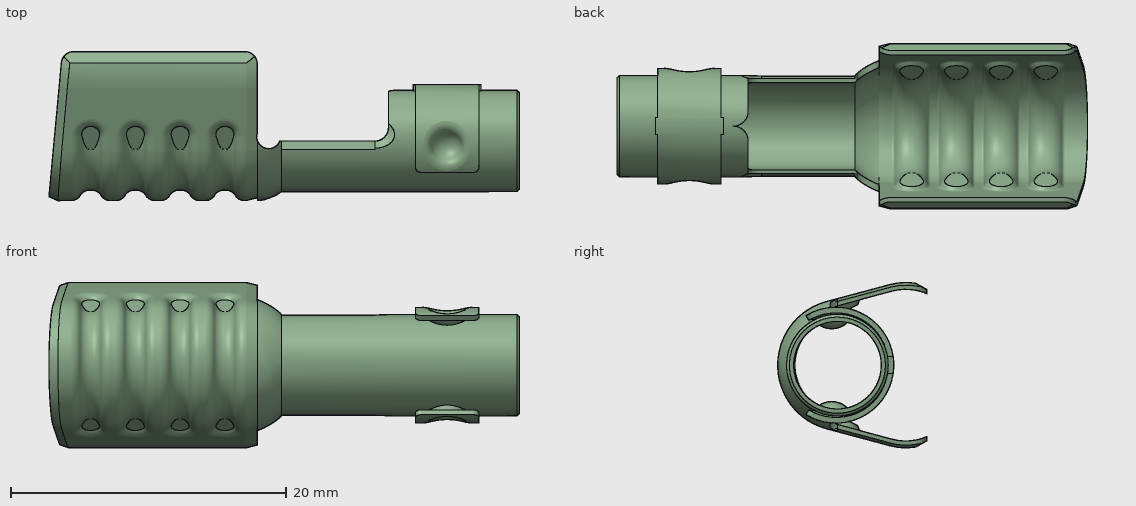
import cadquery as cq
import math

SHEET = 0.5
LENGTH = 34.22
TUBE_R = 3.7
TUBE_START = 16.9
END_CHAMFER = 0.2

BACK_R = 4.8
BACK_Y = 0.45
JAW_DEGREES = 15
JAW_ANGLE = math.radians(JAW_DEGREES)
JAW_END_Y = 3.83
LIP_APEX_Y = 4.95
TIP_Y = 6.5
CLAMP_END = 15.15
MOUTH_SLANT = math.radians(5.3)
LIP_CORNER_R = 0.92

LIP_R = (LIP_APEX_Y - JAW_END_Y) / math.sin(JAW_ANGLE)
LIP_Z = (BACK_R - LIP_R + (LIP_APEX_Y - BACK_Y) * math.sin(JAW_ANGLE)) / math.cos(JAW_ANGLE)

FLARE_MID_X = 16.05
FLARE_MID_Y = 0.25
FLARE_MID_R = 4.4

BEVEL_DEPTH = 0.25
MOUTH_BEVEL = 0.72
REAR_BEVEL = 0.92
TIP_BEVEL = 0.82
NOTCH_BEVEL = 0.6
MOUTH_FOOT_Y = BACK_Y - BACK_R + BEVEL_DEPTH

GROOVE_COUNT = 4
GROOVE_FIRST_X = 3.05
GROOVE_PITCH = 3.25
GROOVE_DEPTH = 0.75
GROOVE_ROUND_R = 0.75
GROOVE_HALF_FLOOR = 0.1
GROOVE_WALL_ANGLE = math.acos(1 - GROOVE_DEPTH / (2 * GROOVE_ROUND_R))
GROOVE_ARC = 180 - 2 * JAW_DEGREES
GROOVE_RUNOUT = 1.05
GROOVE_RAMP_ANGLE = math.radians(12)

NOTCH_END = 24.67
NOTCH_CORNER_R = 0.95
NOTCH_CORNER_X = NOTCH_END - NOTCH_CORNER_R
RELIEF_R = 0.85
RELIEF_X = 15.98
RELIEF_Y = 0.3
SEAM_CORNER_R = 1.1

CLIP_SHEET = 0.4
CLIP_R = 4.2
CLIP_BORE_R = CLIP_R - CLIP_SHEET
CLIP_Y = TUBE_R - CLIP_BORE_R
CLIP_X = 28.95
CLIP_WIDTH = 4.62
CLIP_SPINE_WIDTH = 4.93
CLIP_SPINE_HEIGHT = 1.23
CLIP_END_Y = -2.3
CLIP_CORNER_R = 0.45
DIMPLE_Y = -0.4
DIMPLE_R = 1.23
DIMPLE_FLOOR_Z = 3.05
DIMPLE_LIP_R = 0.65
DIMPLE_Z = DIMPLE_FLOOR_Z + DIMPLE_R
DIMPLE_HOLE_R = 1.88

BEVEL_MARGIN = 0.05
BIG = 13.7
CLEAR = 1.03


def lip_height(y, inset=0.0):
    """Height of the lip surface, moved inward by inset, at a given Y."""
    return LIP_Z + math.sqrt((LIP_R - inset) ** 2 - (y - LIP_APEX_Y) ** 2)


def clamp_outline(plane, inset, end_y):
    """Closed clamp outline, moved inward by inset and closed by a straight line at end_y."""
    sin_a, cos_a = math.sin(JAW_ANGLE), math.cos(JAW_ANGLE)
    back_r = BACK_R - inset
    lip_r = LIP_R - inset
    jaw_start = (BACK_Y - back_r * sin_a, back_r * cos_a)
    jaw_end = (LIP_APEX_Y - lip_r * sin_a, LIP_Z + lip_r * cos_a)
    lip_apex = (LIP_APEX_Y, LIP_Z + lip_r)
    tip = (end_y, lip_height(end_y, inset))

    def below(point):
        return point[0], -point[1]

    return (
        cq.Workplane(plane)
        .moveTo(*below(jaw_start))
        .threePointArc((BACK_Y - back_r, 0), jaw_start)
        .lineTo(*jaw_end)
        .threePointArc(lip_apex, tip)
        .lineTo(*below(tip))
        .threePointArc(below(lip_apex), below(jaw_end))
        .close()
    )


def groove_half_section(inset):
    """Half of the groove section in X and radius, reaching out past the surface of the back."""
    floor_r = GROOVE_ROUND_R + inset
    shoulder_r = GROOVE_ROUND_R - inset
    crest = BACK_R - inset
    base = crest - GROOVE_DEPTH
    half_width = GROOVE_HALF_FLOOR + (floor_r + shoulder_r) * math.sin(GROOVE_WALL_ANGLE)

    def on_floor(angle):
        return GROOVE_HALF_FLOOR + floor_r * math.sin(angle), base + floor_r * (1 - math.cos(angle))

    def on_shoulder(angle):
        return half_width - shoulder_r * math.sin(angle), crest - shoulder_r * (1 - math.cos(angle))

    return (
        cq.Workplane("XY")
        .moveTo(0, base)
        .lineTo(GROOVE_HALF_FLOOR, base)
        .threePointArc(on_floor(GROOVE_WALL_ANGLE / 2), on_floor(GROOVE_WALL_ANGLE))
        .threePointArc(on_shoulder(GROOVE_WALL_ANGLE / 2), (half_width, crest))
        .lineTo(half_width, crest + CLEAR)
        .lineTo(0, crest + CLEAR)
        .close()
    )


def groove_ramp(inset):
    """Material left under a run-out, so that its floor rises towards the end of the groove."""
    base = BACK_R - inset - GROOVE_DEPTH
    rise = GROOVE_PITCH * math.tan(GROOVE_RAMP_ANGLE)
    profile = [(0, 0), (base, 0), (base + rise, -GROOVE_PITCH), (0, -GROOVE_PITCH)]
    return cq.Workplane("YZ").polyline(profile).close().extrude(GROOVE_PITCH, both=True)


def groove_cutter(inset):
    """One groove centred at X = 0: an arc around the back, then straight run-outs with round ends."""
    half_arc = GROOVE_ARC / 2
    bend = groove_half_section(inset).revolve(GROOVE_ARC, (0, 0, 0), (1, 0, 0))
    bend = bend.rotate((0, 0, 0), (1, 0, 0), 180 - half_arc)
    bend = bend.union(bend.mirror("YZ"))

    straight = groove_half_section(inset).extrude(-GROOVE_RUNOUT)
    straight = straight.union(straight.mirror("YZ"))
    round_end = groove_half_section(inset).revolve(360, (0, 0, 0), (0, 1, 0))
    round_end = round_end.translate((0, 0, -GROOVE_RUNOUT))
    runout = straight.union(round_end).cut(groove_ramp(inset))
    upper = runout.rotate((0, 0, 0), (1, 0, 0), 180 - half_arc)
    return bend.union(upper).union(upper.mirror("XY")).translate((0, BACK_Y, 0))


def terminal_form(inset):
    """Solid filling the terminal out to its surface moved inward by inset."""
    form = clamp_outline("YZ", inset, TIP_Y).extrude(CLAMP_END)
    cutter = groove_cutter(inset)
    for i in range(GROOVE_COUNT):
        form = form.cut(cutter.translate((GROOVE_FIRST_X + i * GROOVE_PITCH, 0, 0)))
    flare = (
        cq.Workplane("YZ", origin=(CLAMP_END, 0, 0))
        .center(BACK_Y, 0)
        .circle(BACK_R - inset)
        .workplane(offset=FLARE_MID_X - CLAMP_END)
        .center(FLARE_MID_Y - BACK_Y, 0)
        .circle(FLARE_MID_R - inset)
        .workplane(offset=TUBE_START - FLARE_MID_X)
        .center(-FLARE_MID_Y, 0)
        .circle(TUBE_R - inset)
        .loft()
    )
    tube = cq.Workplane("YZ", origin=(TUBE_START, 0, 0)).circle(TUBE_R - inset).extrude(LENGTH - TUBE_START)
    return form.union(flare).union(tube)


def upright_prism(points):
    """Prism on a plan outline, tall enough to pass through the whole terminal."""
    return cq.Workplane("XY").polyline(points).close().extrude(BIG, both=True)


def upright_cylinder(x, y, radius):
    return cq.Workplane("XY").center(x, y).circle(radius).extrude(BIG, both=True)


def clamp_trim():
    """Slanted mouth, and the rounded plan corners of the lips."""
    lean = math.tan(MOUTH_SLANT)
    foot = (-(BIG + MOUTH_FOOT_Y) * lean, -BIG)
    tip = ((TIP_Y - MOUTH_FOOT_Y) * lean, TIP_Y)
    front = [foot, tip, (-BIG, TIP_Y), (-BIG, -BIG)]
    plan = (
        cq.Workplane("XY")
        .polyline([foot, (CLAMP_END, -BIG), (CLAMP_END, TIP_Y), tip])
        .close()
        .extrude(BIG, both=True)
    )
    corners = plan.cut(plan.edges("|Z and >Y").fillet(LIP_CORNER_R))
    return upright_prism(front).union(corners)


def end_bevel(plane, width):
    """Ring that thins the outer edge of the clamp towards an end, over width along the plane's normal."""
    taper = math.degrees(math.atan(BEVEL_DEPTH / width))
    kept = clamp_outline(plane, -BEVEL_MARGIN, TIP_Y + CLEAR).extrude(width, taper=taper)
    return cq.Workplane(plane).rect(2 * BIG, 2 * BIG).extrude(width).cut(kept)


def mouth_bevel():
    sin_m, cos_m = math.sin(MOUTH_SLANT), math.cos(MOUTH_SLANT)
    mouth_x = -MOUTH_FOOT_Y * math.tan(MOUTH_SLANT)
    plane = cq.Plane(
        origin=(mouth_x + MOUTH_BEVEL / cos_m, 0, 0),
        xDir=(sin_m, cos_m, 0),
        normal=(-cos_m, sin_m, 0),
    )
    return end_bevel(plane, MOUTH_BEVEL)


def rear_bevel():
    return end_bevel(cq.Plane.YZ(origin=(CLAMP_END - REAR_BEVEL, 0, 0)), REAR_BEVEL)


def edge_bevel(points, start_x, end_x):
    """Bevel along X, given by a triangle in Y and Z, on the upper and lower halves."""
    upper = cq.Workplane("YZ", origin=(start_x, 0, 0)).polyline(points).close().extrude(end_x - start_x)
    return upper.union(upper.mirror("XY"))


def lip_bevel():
    edge_z = lip_height(TIP_Y) - BEVEL_DEPTH
    start_y = TIP_Y - TIP_BEVEL
    start_z = lip_height(start_y)
    return edge_bevel([(start_y, start_z), (TIP_Y, edge_z), (TIP_Y, start_z + CLEAR)], 0, CLAMP_END)


def notch():
    """Open notch over the neck, with its rounded corner and the relief beside the clamp."""
    opening = (
        cq.Workplane("XY")
        .moveTo(CLAMP_END, 0)
        .lineTo(NOTCH_CORNER_X, 0)
        .radiusArc((NOTCH_END, NOTCH_CORNER_R), -NOTCH_CORNER_R)
        .lineTo(NOTCH_END, BIG)
        .lineTo(CLAMP_END, BIG)
        .close()
        .extrude(BIG, both=True)
    )
    return opening.union(upright_cylinder(RELIEF_X, RELIEF_Y, RELIEF_R))


def notch_bevel():
    """Bevel along the notch edges, continued as a cone around the notch corner."""
    edge_z = TUBE_R - BEVEL_DEPTH
    start_z = math.sqrt(TUBE_R**2 - NOTCH_BEVEL**2)
    triangle = [(-NOTCH_BEVEL, start_z), (0, edge_z), (0, TUBE_R + CLEAR)]
    edges = edge_bevel(triangle, TUBE_START, NOTCH_CORNER_X)
    cone = (
        cq.Workplane("XY", origin=(NOTCH_CORNER_X, NOTCH_CORNER_R, edge_z))
        .circle(NOTCH_CORNER_R)
        .workplane(offset=BEVEL_DEPTH)
        .circle(NOTCH_CORNER_R + NOTCH_BEVEL)
        .loft()
    )
    return edges.union(cone).union(cone.mirror("XY"))


def seam_mouth():
    """Flared gap between the rounded corners where the two edges of the tube wall meet."""
    r = SEAM_CORNER_R
    return (
        cq.Workplane("XZ", origin=(NOTCH_END, 0, 0))
        .moveTo(0, -r)
        .radiusArc((r, 0), r)
        .radiusArc((0, r), r)
        .close()
        .extrude(-TUBE_R)
    )


def make_terminal():
    outside = terminal_form(0.0).faces(">X").chamfer(END_CHAMFER)
    body = outside.cut(terminal_form(SHEET))
    bevels = (mouth_bevel(), rear_bevel(), lip_bevel(), notch_bevel())
    for cutter in (clamp_trim(), notch(), seam_mouth(), *bevels):
        body = body.cut(cutter)
    return body.cut(upright_cylinder(CLIP_X, DIMPLE_Y, DIMPLE_HOLE_R))


def clip_form(radius, dimple_r, lip_r):
    """Cylinder across the clip's width, dented at top and bottom by a rounded dimple."""
    form = cq.Workplane("YZ", origin=(CLIP_X, CLIP_Y, 0)).circle(radius)
    form = form.extrude(CLIP_SPINE_WIDTH / 2, both=True)
    for z in (-DIMPLE_Z, DIMPLE_Z):
        ball = cq.Workplane("XY").sphere(dimple_r).translate((CLIP_X, DIMPLE_Y, z))
        form = form.cut(ball)
    rim_reach = DIMPLE_R + DIMPLE_LIP_R
    rims = cq.selectors.BoxSelector(
        (CLIP_X - rim_reach, DIMPLE_Y - rim_reach, -BIG), (CLIP_X + rim_reach, DIMPLE_Y + rim_reach, BIG)
    )
    return form.edges(rims).fillet(lip_r)


def clip_opening():
    """Wedge between the clip's radial free ends, as wide as the clip."""
    end_dy = CLIP_END_Y - CLIP_Y
    end_z = math.sqrt(CLIP_R**2 - end_dy**2)
    reach = BIG / CLIP_R
    far_y, far_z = CLIP_Y + end_dy * reach, end_z * reach
    corners = [(CLIP_Y, 0), (far_y, far_z), (far_y, -far_z)]
    return cq.Workplane("YZ", origin=(CLIP_X, 0, 0)).polyline(corners).close().extrude(BIG, both=True)


def clip_spine_sides():
    """Material beside the clip that leaves only its spine, at the highest Y, at full width."""
    sides = cq.Workplane("XY", origin=(CLIP_X, 0, 0)).box(2 * BIG, 2 * BIG, 2 * BIG)
    middle = cq.Workplane("XY", origin=(CLIP_X, 0, 0)).box(CLIP_WIDTH, 2 * BIG, 2 * BIG)
    spine = cq.Workplane("XY", origin=(CLIP_X, BIG / 2, 0)).box(CLIP_SPINE_WIDTH, BIG, CLIP_SPINE_HEIGHT)
    return sides.cut(middle).cut(spine)


def make_clip():
    outside = clip_form(CLIP_R, DIMPLE_R, DIMPLE_LIP_R)
    inside = clip_form(CLIP_BORE_R, DIMPLE_R + CLIP_SHEET, DIMPLE_LIP_R - CLIP_SHEET)
    clip = outside.cut(inside).cut(clip_spine_sides()).cut(clip_opening())
    end_corners = cq.selectors.BoxSelector(
        (0, CLIP_END_Y - CLIP_SHEET, -BIG), (LENGTH, CLIP_END_Y + CLIP_SHEET, BIG)
    )
    return clip.edges(end_corners).edges("not |X").fillet(CLIP_CORNER_R)


terminal = make_terminal()
clip = make_clip()
result = cq.Compound.makeCompound([terminal.val(), clip.val()])